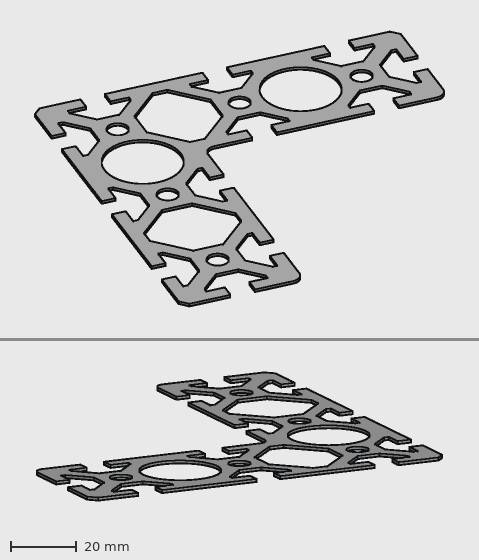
import cadquery as cq

length = 120.0
thickness = 1.0
modules_per_leg = 3
module = length / modules_per_leg
centers = [(i + 0.5) * module for i in range(modules_per_leg)]
first, middle, last = centers

outer_chamfer = 2.5
tip_radius = 3.5
inner_radius = tip_radius

slot_opening = 8.0
lip_thickness = 4.5
slot_depth = 12.5
slot_width = 20.0
slot_floor_width = 7.3

core_diameter = 6.8
large_diameter = 25.0
window_along_leg = large_diameter
window_across_leg = 30.0
window_bevel = 10.1


def leg_plate():
    """L-shaped plate with chamfered outer corners, rounded leg tips and a rounded inner corner."""
    along_x = cq.Workplane("XY").box(length, module, thickness, centered=False)
    along_y = cq.Workplane("XY").box(module, length, thickness, centered=False)
    plate = along_x.union(along_y)

    def corner(x, y):
        return cq.selectors.NearestToPointSelector((x, y, thickness / 2))

    for x, y in [(0, 0), (length, 0), (0, length)]:
        plate = plate.edges("|Z").edges(corner(x, y)).chamfer(outer_chamfer)
    for x, y in [(length, module), (module, length)]:
        plate = plate.edges("|Z").edges(corner(x, y)).fillet(tip_radius)
    return plate.edges("|Z").edges(corner(module, module)).fillet(inner_radius)


def slot(x, y, inward_angle):
    """T-slot starting on the face at (x, y) and cut in the given direction (degrees from +X)."""
    half_opening = slot_opening / 2
    half_width = slot_width / 2
    half_floor = slot_floor_width / 2
    slope_start = slot_depth - (half_width - half_floor)
    upper_half = [
        (0, half_opening),
        (lip_thickness, half_opening),
        (lip_thickness, half_width),
        (slope_start, half_width),
        (slot_depth, half_floor),
    ]
    lower_half = [(depth, -side) for depth, side in reversed(upper_half)]
    cutter = cq.Workplane("XY").polyline(upper_half + lower_half).close().extrude(thickness)
    return cutter.rotate((0, 0, 0), (0, 0, 1), inward_angle).translate((x, y, 0))


def bevelled_window(x, y, size_x, size_y):
    """Rectangular opening with its four corners cut at 45 degrees."""
    block = cq.Workplane("XY").box(size_x, size_y, thickness, centered=(True, True, False))
    return block.edges("|Z").chamfer(window_bevel).translate((x, y, 0))


def round_holes(points, diameter):
    return cq.Workplane("XY").pushPoints(points).circle(diameter / 2).extrude(thickness)


result = leg_plate()

for center in centers:
    result = result.cut(slot(center, 0, 90))
    result = result.cut(slot(0, center, 0))

for center in (middle, last):
    result = result.cut(slot(center, module, -90))
    result = result.cut(slot(module, center, 180))

result = result.cut(slot(first, length, -90))
result = result.cut(slot(length, first, 180))

core_points = [(center, first) for center in centers]
core_points += [(first, center) for center in (middle, last)]
result = result.cut(round_holes(core_points, core_diameter))

first_joint = module
second_joint = 2 * module
result = result.cut(round_holes([(first_joint, first), (first, second_joint)], large_diameter))
result = result.cut(bevelled_window(second_joint, first, window_along_leg, window_across_leg))
result = result.cut(bevelled_window(first, first_joint, window_across_leg, window_along_leg))